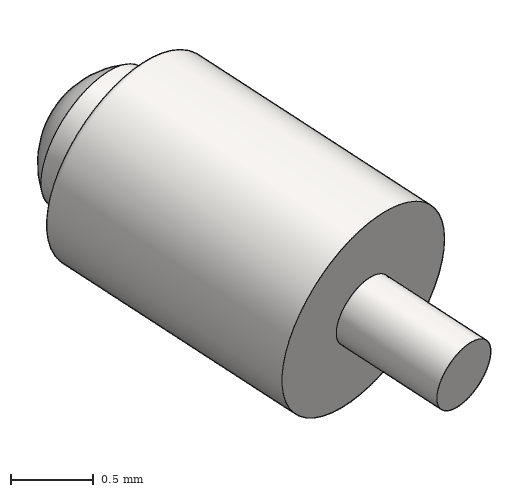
import cadquery as cq
import math

total_length = 3.2
body_diameter = 1.5
plunger_diameter = 1.0
pin_diameter = 0.5
plunger_projection = 0.5
pin_length = 0.8
dome_radius = 0.6
body_edge_fillet = 0.05

tip_x = -total_length / 2
body_front_x = tip_x + plunger_projection
body_rear_x = total_length / 2 - pin_length
body_length = body_rear_x - body_front_x

plunger_radius = plunger_diameter / 2
dome_center_x = tip_x + dome_radius
dome_base_x = dome_center_x - math.sqrt(dome_radius**2 - plunger_radius**2)


def make_body():
    """Cylindrical barrel with a rounded front edge."""
    barrel = cq.Workplane("YZ", origin=(body_front_x, 0, 0)).circle(body_diameter / 2).extrude(body_length)
    return barrel.faces("<X").edges().fillet(body_edge_fillet)


def make_plunger():
    """Short cylinder capped by a shallow spherical dome."""
    arc_angle = math.asin(plunger_radius / dome_radius) / 2
    arc_middle = (
        dome_center_x - dome_radius * math.cos(arc_angle),
        dome_radius * math.sin(arc_angle),
    )
    half_profile = (
        cq.Workplane("XY")
        .moveTo(tip_x, 0)
        .threePointArc(arc_middle, (dome_base_x, plunger_radius))
        .lineTo(body_front_x, plunger_radius)
        .lineTo(body_front_x, 0)
        .close()
    )
    return half_profile.revolve(360, (0, 0, 0), (1, 0, 0))


def make_pin():
    """Plain round pin behind the body."""
    return cq.Workplane("YZ", origin=(body_rear_x, 0, 0)).circle(pin_diameter / 2).extrude(pin_length)


result = make_body().union(make_plunger()).union(make_pin())